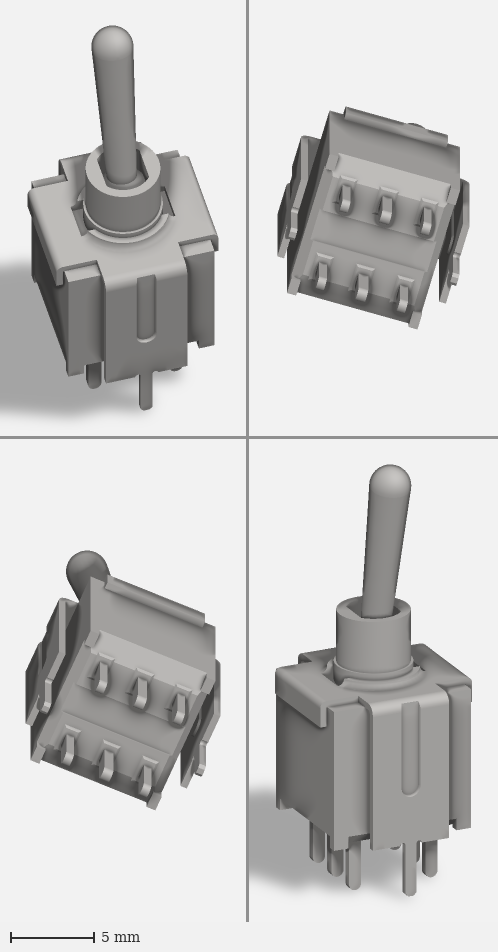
import cadquery as cq
import math


OVERALL_X = 10.56
OVERALL_Y = 10.11
OVERALL_Z = 26.75

BODY_X = 8.18
BODY_Y = 9.12
FOOT_GAP_X = 7.03
FOOT_GAP_Y = 7.19
FOOT_HEIGHT = 0.75
SEAL_BOTTOM = 0.12
SEAL_INSET_X = 0.6
SEAL_INSET_Y = 1.35
TROUGH_WIDTH = 2.0
TROUGH_TOP = 0.3

PIN_PITCH = 2.54
PIN_ROWS = (-1, 1)
PIN_COLUMNS = (-1, 0, 1)
PIN_TIP = -3.3
PIN_WIDTH = 0.8
PIN_THICKNESS = 0.5
CENTER_PIN_THICKNESS = 0.6
MENISCUS_MARGIN_X = 0.3
MENISCUS_MARGIN_Y = 0.5
MENISCUS_TAPER = 0.15
MENISCUS_BOTTOM = 0.02

SHEET = 0.42
PLATE_TOP = 9.35
PLATE_BOTTOM = PLATE_TOP - SHEET
FLAP_WIDTH = 6.4
FLAP_HEIGHT = 1.64
FLAP_BEND_RADIUS = 0.41
LEG_WIDTH = 5.08
LEG_BOTTOM = 0.09
LEG_BEND_RADIUS = 0.66
LEG_PIN_WIDTH = 0.75
LEG_PIN_TIP = -3.24
LEG_PIN_CHAMFER = 0.2
RELIEF_RADIUS = 0.17
GROOVE_WIDTH = 1.25
GROOVE_DEPTH = 0.2
RIB_HEIGHT = 0.14
GROOVE_BOTTOM = 3.15
GROOVE_DRAFT = 20

BUSHING_DIAMETER = 4.5
BUSHING_TOP = 13.44
COLLAR_DIAMETER = 4.8
COLLAR_TOP = 10.14
RING_RADIUS = 2.8
RING_HEIGHT = 0.4
RING_FOOT_RADIUS = RING_RADIUS + RING_HEIGHT
RING_TOP = PLATE_TOP + RING_HEIGHT
RING_NOTCH_WIDTH = 2.4
PLATE_NOTCH_LENGTH = 5.88
BORE_RADIUS = 1.71
BORE_WIDTH = 2.66

LEVER_TILT = 12
PIVOT_Z = 11.1
LEVER_TIP_RADIUS = 1.27
LEVER_BASE_RADIUS = 0.87
BALL_CLEARANCE = 0.05
LEVER_TOP = OVERALL_Z + PIN_TIP
TIP_CENTER_Z = LEVER_TOP - LEVER_TIP_RADIUS
LEVER_LENGTH = (TIP_CENTER_Z - PIVOT_Z) / math.cos(math.radians(LEVER_TILT))


def box(size_x, size_y, z_low, z_high):
    """Box centred on the Z axis between two heights."""
    return cq.Workplane("XY").workplane(offset=z_low).rect(size_x, size_y).extrude(z_high - z_low)


def frustum(size_x, size_y, z_high, z_low, inset_x, inset_y):
    """Rectangular frustum that narrows downward by the given insets on each side."""
    return (
        cq.Workplane("XY")
        .workplane(offset=z_high)
        .rect(size_x, size_y)
        .workplane(offset=z_low - z_high)
        .rect(size_x - 2 * inset_x, size_y - 2 * inset_y)
        .loft(combine=True)
    )


def both_sides(half):
    """The given shape together with its mirror image across the YZ plane."""
    return half.union(half.mirror("YZ"))


def make_body():
    block = box(BODY_X, BODY_Y, 0, PLATE_BOTTOM)
    block = block.cut(box(FOOT_GAP_X, BODY_Y, 0, FOOT_HEIGHT))
    block = block.cut(box(BODY_X, FOOT_GAP_Y, 0, FOOT_HEIGHT))
    seal = frustum(BODY_X, BODY_Y, FOOT_HEIGHT, SEAL_BOTTOM, SEAL_INSET_X, SEAL_INSET_Y)
    seal = seal.cut(box(BODY_X, TROUGH_WIDTH, SEAL_BOTTOM, TROUGH_TOP))
    return block.union(seal)


def make_terminal(thickness):
    """Flat terminal with a fully rounded end, at the origin in X and Y."""
    blade = box(thickness, PIN_WIDTH, PIN_TIP + PIN_WIDTH / 2, FOOT_HEIGHT)
    rounded_end = (
        cq.Workplane("YZ")
        .center(0, PIN_TIP + PIN_WIDTH / 2)
        .circle(PIN_WIDTH / 2)
        .extrude(thickness / 2, both=True)
    )
    meniscus = frustum(
        thickness + 2 * MENISCUS_MARGIN_X,
        PIN_WIDTH + 2 * MENISCUS_MARGIN_Y,
        SEAL_BOTTOM,
        MENISCUS_BOTTOM,
        MENISCUS_TAPER,
        MENISCUS_TAPER,
    )
    return blade.union(rounded_end).union(meniscus)


def add_terminals(part):
    for column in PIN_COLUMNS:
        thickness = CENTER_PIN_THICKNESS if column == 0 else PIN_THICKNESS
        terminal = make_terminal(thickness)
        for row in PIN_ROWS:
            part = part.union(terminal.translate((column * PIN_PITCH, row * PIN_PITCH, 0)))
    return part


def make_flap_strip():
    """Plate strip along Y with a short flap bent down at each end."""
    strip = box(FLAP_WIDTH, OVERALL_Y, PLATE_TOP - FLAP_HEIGHT, PLATE_TOP)
    strip = strip.edges("|X and >Z").fillet(FLAP_BEND_RADIUS)
    return strip.cut(box(FLAP_WIDTH, OVERALL_Y - 2 * SHEET, 0, PLATE_BOTTOM))


def make_leg_strip():
    """Plate strip along X with a long leg bent down at each end."""
    strip = box(OVERALL_X, LEG_WIDTH, LEG_BOTTOM, PLATE_TOP)
    strip = strip.edges("|Y and >Z").fillet(LEG_BEND_RADIUS)
    opening = box(OVERALL_X - 2 * SHEET, LEG_WIDTH, LEG_BOTTOM, PLATE_BOTTOM)
    opening = opening.edges("|Y and >Z").fillet(LEG_BEND_RADIUS - SHEET)
    return strip.cut(opening)


def make_leg_pin():
    pin = (
        box(SHEET, LEG_PIN_WIDTH, LEG_PIN_TIP, LEG_BOTTOM + RELIEF_RADIUS)
        .edges("|X and <Z")
        .chamfer(LEG_PIN_CHAMFER)
    )
    return pin.translate(((OVERALL_X - SHEET) / 2, 0, 0))


def make_leg_reliefs():
    offset = LEG_PIN_WIDTH / 2 + RELIEF_RADIUS
    return (
        cq.Workplane("YZ")
        .pushPoints([(-offset, LEG_BOTTOM), (offset, LEG_BOTTOM)])
        .circle(RELIEF_RADIUS)
        .extrude(OVERALL_X / 2)
    )


def make_groove_shape(face_x, top, depth):
    """Drafted, round-ended bar pressed inward from the plane X = face_x."""
    radius = GROOVE_WIDTH / 2
    arc_z = GROOVE_BOTTOM + radius
    return (
        cq.Workplane("YZ", origin=(face_x, 0, 0))
        .moveTo(-radius, top)
        .lineTo(-radius, arc_z)
        .threePointArc((0, GROOVE_BOTTOM), (radius, arc_z))
        .lineTo(radius, top)
        .close()
        .extrude(-depth, taper=GROOVE_DRAFT)
    )


def make_ring():
    """Flange around the bushing with a concave foot."""
    cove_dip = RING_HEIGHT * math.sqrt(0.5)
    return (
        cq.Workplane("XZ")
        .moveTo(0, PLATE_BOTTOM)
        .lineTo(RING_FOOT_RADIUS, PLATE_BOTTOM)
        .lineTo(RING_FOOT_RADIUS, PLATE_TOP)
        .threePointArc((RING_FOOT_RADIUS - cove_dip, RING_TOP - cove_dip), (RING_RADIUS, RING_TOP))
        .lineTo(0, RING_TOP)
        .close()
        .revolve(360, (0, 0, 0), (0, 1, 0))
    )


def make_bracket():
    """Bracket with the bushing flange; the flange notches cut through the plate."""
    bracket = make_flap_strip().union(make_leg_strip())
    bracket = bracket.cut(both_sides(make_leg_reliefs()))
    bracket = bracket.union(both_sides(make_leg_pin()))
    bracket = bracket.union(make_ring())
    bracket = bracket.cut(box(RING_NOTCH_WIDTH, 2 * RING_FOOT_RADIUS, PLATE_TOP, RING_TOP))
    bracket = bracket.cut(box(RING_NOTCH_WIDTH, PLATE_NOTCH_LENGTH, PLATE_BOTTOM, PLATE_TOP))
    rib = make_groove_shape(OVERALL_X / 2 - SHEET, PLATE_TOP - SHEET / 2, RIB_HEIGHT)
    groove = make_groove_shape(OVERALL_X / 2, PLATE_TOP + SHEET, GROOVE_DEPTH)
    return bracket.union(both_sides(rib)).cut(both_sides(groove))


def make_bushing():
    collar = cq.Workplane("XY").workplane(offset=PLATE_BOTTOM).circle(COLLAR_DIAMETER / 2)
    sleeve = cq.Workplane("XY").workplane(offset=PLATE_BOTTOM).circle(BUSHING_DIAMETER / 2)
    bushing = (
        collar.extrude(COLLAR_TOP - PLATE_BOTTOM)
        .union(sleeve.extrude(BUSHING_TOP - PLATE_BOTTOM))
    )
    bore = (
        cq.Workplane("XY")
        .workplane(offset=PIVOT_Z)
        .circle(BORE_RADIUS)
        .extrude(BUSHING_TOP - PIVOT_Z)
        .intersect(box(2 * BORE_RADIUS, BORE_WIDTH, PIVOT_Z, BUSHING_TOP))
    )
    return bushing.cut(bore)


def make_lever():
    """Tapered lever with a ball tip, tilted about its pivot ball."""
    lever = (
        cq.Workplane("XZ")
        .lineTo(LEVER_BASE_RADIUS, 0)
        .lineTo(LEVER_TIP_RADIUS, LEVER_LENGTH)
        .lineTo(0, LEVER_LENGTH)
        .close()
        .revolve(360, (0, 0, 0), (0, 1, 0))
        .union(cq.Workplane("XY").sphere(LEVER_TIP_RADIUS).translate((0, 0, LEVER_LENGTH)))
        .rotate((0, 0, 0), (0, 1, 0), -LEVER_TILT)
    )
    ball_radius = BORE_RADIUS - BALL_CLEARANCE
    ball = (
        cq.Workplane("XY")
        .sphere(ball_radius)
        .intersect(box(2 * ball_radius, BORE_WIDTH, -ball_radius, ball_radius))
    )
    return lever.union(ball).translate((0, 0, PIVOT_Z))


result = add_terminals(make_body())
result = result.union(make_bracket())
result = result.union(make_bushing())
result = result.union(make_lever())